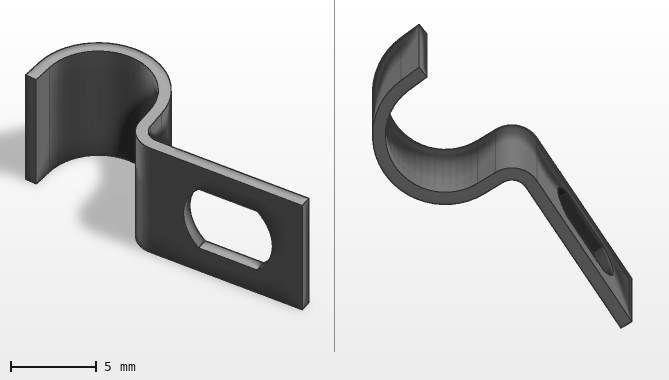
import cadquery as cq
import math

thickness = 0.75
width = 8.0
total_length = 19.85
total_depth = 7.25

loop_inner_radius = 3.5
loop_outer_radius = loop_inner_radius + thickness
tail_angle = math.radians(5)
tail_length = 1.35

bend_inner_radius = 1.0
bend_outer_radius = bend_inner_radius + thickness
bend_x = loop_outer_radius + bend_inner_radius
plate_outer_y = loop_outer_radius - total_depth
plate_inner_y = plate_outer_y + thickness
bend_y = plate_outer_y + bend_outer_radius

hole_diameter = 6.0
hole_height = 4.5
hole_to_plate_end = 5.02


def tail_start(radius):
    """Point where the loop of this radius runs tangentially into the tail."""
    return (-radius * math.cos(tail_angle), radius * math.sin(tail_angle))


def tail_end(radius):
    """Free end of the tail on the side that continues this radius."""
    x, y = tail_start(radius)
    return (x - tail_length * math.sin(tail_angle), y - tail_length * math.cos(tail_angle))


def bend_middle(radius):
    """Halfway point of the quarter-circle bend of this radius."""
    offset = radius * math.sqrt(0.5)
    return (bend_x - offset, bend_y - offset)


plate_end_x = tail_end(loop_outer_radius)[0] + total_length


def bent_strip():
    """Side profile of the strip, extruded over its width."""
    return (
        cq.Workplane("XY")
        .moveTo(*tail_end(loop_outer_radius))
        .lineTo(*tail_start(loop_outer_radius))
        .threePointArc((0, loop_outer_radius), (loop_outer_radius, 0))
        .lineTo(loop_outer_radius, bend_y)
        .threePointArc(bend_middle(bend_inner_radius), (bend_x, plate_inner_y))
        .lineTo(plate_end_x, plate_inner_y)
        .lineTo(plate_end_x, plate_outer_y)
        .lineTo(bend_x, plate_outer_y)
        .threePointArc(bend_middle(bend_outer_radius), (loop_inner_radius, bend_y))
        .lineTo(loop_inner_radius, 0)
        .threePointArc((0, loop_inner_radius), tail_start(loop_inner_radius))
        .lineTo(*tail_end(loop_inner_radius))
        .close()
        .extrude(width / 2, both=True)
    )


def mounting_hole():
    """Cylinder trimmed by flats above and below, passing through the plate."""
    cut_depth = 2 * thickness
    plate_middle_y = (plate_inner_y + plate_outer_y) / 2
    cylinder = cq.Workplane("XZ").circle(hole_diameter / 2).extrude(cut_depth / 2, both=True)
    flats = cq.Workplane("XY").box(hole_diameter, cut_depth, hole_height)
    hole = cylinder.intersect(flats)
    return hole.translate((plate_end_x - hole_to_plate_end, plate_middle_y, 0))


result = bent_strip().cut(mounting_hole())